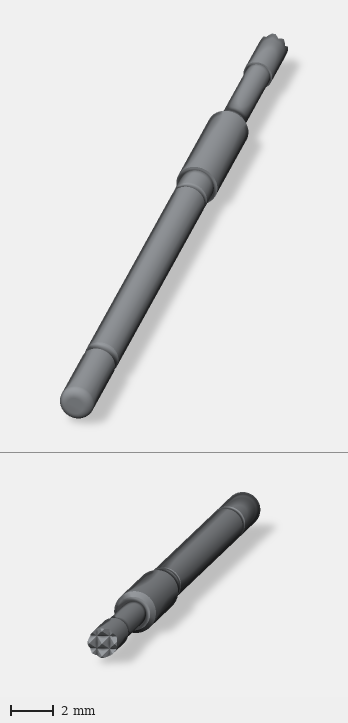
import cadquery as cq
import math


total_length = 36.0
head_length = 3.0
tip_to_collar = 8.0
tip_to_barrel = 14.0
tip_to_front_groove = 15.45
tip_to_rear_groove = 31.5

head_diameter = 1.4
plunger_diameter = 1.2
collar_diameter = 2.0
barrel_diameter = 1.65

collar_chamfer_length = 0.4
collar_chamfer_depth = 0.2
tail_rounding_radius = 0.4
front_groove_depth = 0.1
rear_groove_depth = 0.13
front_groove_half_width = 0.2
rear_groove_half_width = 0.31

tooth_pitch = 0.6
tooth_depth = 0.42
cut_count = 4

barrel_radius = barrel_diameter / 2
collar_radius = collar_diameter / 2


def add_groove(profile, tip_distance, half_width, depth):
    """Continue the barrel outline through a shallow groove with a round floor."""
    floor_y = total_length - tip_distance
    floor_point = (barrel_radius - depth, floor_y)
    return (
        profile.lineTo(barrel_radius, floor_y - half_width)
        .threePointArc(floor_point, (barrel_radius, floor_y + half_width))
    )


def turned_body():
    """Revolve the half outline, running from the tail to the tip, about the Y axis."""
    collar_rear = total_length - tip_to_barrel
    collar_front = total_length - tip_to_collar
    head_rear = total_length - head_length
    plunger_radius = plunger_diameter / 2
    head_radius = head_diameter / 2
    rounding_middle = tail_rounding_radius * math.sqrt(0.5)
    tail_flat_radius = barrel_radius - tail_rounding_radius

    profile = (
        cq.Workplane("XY")
        .lineTo(tail_flat_radius, 0)
        .threePointArc(
            (tail_flat_radius + rounding_middle, tail_rounding_radius - rounding_middle),
            (barrel_radius, tail_rounding_radius),
        )
    )
    profile = add_groove(profile, tip_to_rear_groove, rear_groove_half_width, rear_groove_depth)
    profile = add_groove(profile, tip_to_front_groove, front_groove_half_width, front_groove_depth)
    profile = (
        profile.lineTo(barrel_radius, collar_rear)
        .lineTo(collar_radius, collar_rear)
        .lineTo(collar_radius, collar_front - collar_chamfer_length)
        .lineTo(collar_radius - collar_chamfer_depth, collar_front)
        .lineTo(plunger_radius, collar_front)
        .lineTo(plunger_radius, head_rear)
        .lineTo(head_radius, head_rear)
        .lineTo(head_radius, total_length)
        .lineTo(0, total_length)
        .close()
    )
    return profile.revolve(360, (0, 0, 0), (0, 1, 0))


def tooth_cut(index):
    """V cut running along Z across the tip; neighbouring cuts meet in a sharp ridge."""
    valley_x = (index - (cut_count - 1) / 2) * tooth_pitch
    mouth_half_width = tooth_pitch / 2
    return (
        cq.Workplane("XY")
        .moveTo(valley_x - mouth_half_width, total_length)
        .lineTo(valley_x, total_length - tooth_depth)
        .lineTo(valley_x + mouth_half_width, total_length)
        .close()
        .extrude(head_diameter, both=True)
    )


def serrate(body):
    """Cut the tip with two crossing sets of V cuts, one along Z and one along X."""
    for index in range(cut_count):
        cut = tooth_cut(index)
        body = body.cut(cut)
        body = body.cut(cut.rotate((0, 0, 0), (0, 1, 0), 90))
    return body


result = serrate(turned_body())